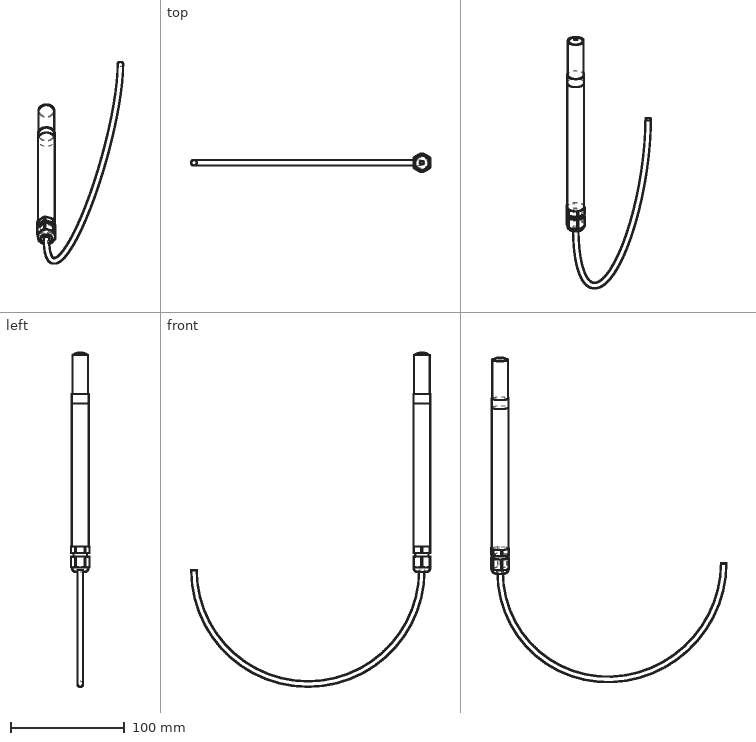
import cadquery as cq
import math

cable_diameter = 5.0
bend_radius = 100.0
overall_height = 293.32
tip_z = overall_height - bend_radius - cable_diameter / 2

cap_diameter = 14.0
cap_length = 36.5
dome_diameter = 12.5
dome_height = 2.0
tip_hole_diameter = 3.0
tip_hole_depth = 0.3
collar_length = 8.0

tube_diameter = 15.0
tube_length = 125.8

hex_across_flats = 15.0
hex_across_corners = hex_across_flats / math.cos(math.pi / 6)
hex_corner_diameter = 16.59
flange_length = 5.6
neck_diameter = 12.0
neck_length = 3.0
nut_hex_length = 9.0
nut_chamfer_length = 0.6
nut_end_length = 3.8
nut_end_diameter = hex_across_flats
nut_face_diameter = 9.96

collar_top_z = tip_z - cap_length
tube_top_z = collar_top_z - collar_length
gland_top_z = tube_top_z - tube_length
neck_top_z = gland_top_z - flange_length
nut_top_z = neck_top_z - neck_length
nut_hex_bottom_z = nut_top_z - nut_hex_length
nut_end_top_z = nut_hex_bottom_z - nut_chamfer_length
gland_bottom_z = nut_end_top_z - nut_end_length


def cylinder(diameter, bottom_z, top_z):
    return cq.Workplane("XY", origin=(0, 0, bottom_z)).circle(diameter / 2).extrude(top_z - bottom_z)


def hexagon(bottom_z, top_z):
    """Hexagonal prism with two corners on the Y axis."""
    return (
        cq.Workplane("XY", origin=(0, 0, bottom_z))
        .transformed(rotate=(0, 0, 90))
        .polygon(6, hex_across_corners)
        .extrude(top_z - bottom_z)
    )


def trimmed_hexagon(bottom_z, top_z):
    return hexagon(bottom_z, top_z).intersect(cylinder(hex_corner_diameter, bottom_z, top_z))


def make_cap():
    collar = cylinder(tube_diameter, tube_top_z, collar_top_z)
    shoulder_z = tip_z - dome_height
    barrel = cylinder(cap_diameter, collar_top_z, shoulder_z)

    base_radius = dome_diameter / 2
    rim_radius = tip_hole_diameter / 2
    centre_depth = (base_radius**2 - rim_radius**2 - dome_height**2) / (2 * dome_height)
    ball_radius = math.hypot(base_radius, centre_depth)
    ball = cq.Workplane("XY", origin=(0, 0, shoulder_z - centre_depth)).sphere(ball_radius)
    dome = ball.intersect(cylinder(dome_diameter, shoulder_z, tip_z))

    tip_hole = cylinder(tip_hole_diameter, tip_z - tip_hole_depth, tip_z)
    return collar.union(barrel).union(dome).cut(tip_hole)


def make_tube():
    return cylinder(tube_diameter, gland_top_z, tube_top_z)


def make_cable():
    """Half circle of round cable, from inside the gland to the free end at -X."""
    axis_start = (-bend_radius, 0, 0)
    axis_end = (-bend_radius, 1, 0)
    return cq.Workplane("XY").circle(cable_diameter / 2).revolve(180, axis_start, axis_end)


def make_nut_shape():
    """Hexagonal nut whose corners end in a chamfer, above an end rounded in to a smaller face."""
    corner_radius = hex_corner_diameter / 2
    end_radius = nut_end_diameter / 2
    face_radius = nut_face_diameter / 2

    inset = end_radius - face_radius
    arc_radius = (inset**2 + nut_end_length**2) / (2 * inset)
    half_sweep = math.asin(nut_end_length / arc_radius) / 2
    mid_radius = end_radius - arc_radius * (1 - math.cos(half_sweep))
    mid_z = nut_end_top_z - arc_radius * math.sin(half_sweep)

    turned = (
        cq.Workplane("XZ")
        .moveTo(0, nut_top_z)
        .lineTo(corner_radius, nut_top_z)
        .lineTo(corner_radius, nut_hex_bottom_z)
        .lineTo(end_radius, nut_end_top_z)
        .threePointArc((mid_radius, mid_z), (face_radius, gland_bottom_z))
        .lineTo(0, gland_bottom_z)
        .close()
        .revolve(360, (0, 0, 0), (0, 1, 0))
    )
    return turned.intersect(hexagon(gland_bottom_z, nut_top_z))


def make_gland(cable):
    flange = trimmed_hexagon(neck_top_z, gland_top_z)
    neck = cylinder(neck_diameter, nut_top_z, neck_top_z)
    return flange.union(neck).union(make_nut_shape()).cut(cable)


cap = make_cap()
tube = make_tube()
cable = make_cable()
gland = make_gland(cable)
result = cq.Compound.makeCompound([cap.val(), tube.val(), gland.val(), cable.val()])